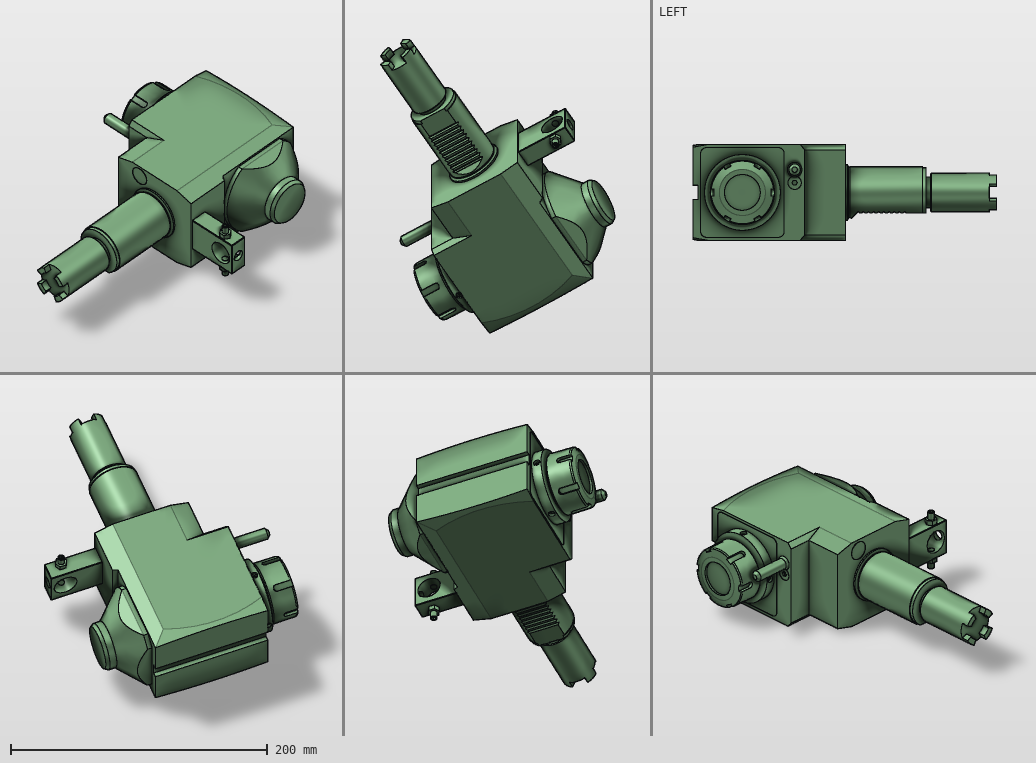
import cadquery as cq
import math


height = 75.0
half_height = height / 2
step_half_width = 39.3
bevel_width = 15.1
bevel_drop = 4.3
left_x = -58.7
right_x = 35.5
back_y = 119.0
block_front_y = 32.0
block_bevel_depth = 3.5
shoulder_y = 37.4
shoulder_length = 2.4
keyway_depth = 3.8
keyway_width = 10.9

relief_radius = 110.7
relief_x = -17.0
relief_y = 4.0
relief_slope = 0.2

spindle_y = 80.5
panel_width = 65.0
panel_height = 70.0
panel_corner = 4.7
mark_depth = 0.2
flange_radius = 29.5
flange_end_x = -66.5
neck_radius = 20.3
nut_radius = 25.0
nut_start_x = -68.4
nut_front_radius = 24.8
nut_front_x = -88.2
nut_rim_x = -89.7
nut_rim_radius = 24.4
nut_end_x = -91.0
nut_face_radius = 18.0
nut_edge = 1.0
collet_radius = 14.0
collet_depth = 2.0
nut_slot_count = 6
nut_slot_width = 5.2
nut_slot_depth = 2.8
nut_slot_end_x = -74.0
nut_short_slot_end_x = -77.8
flange_hole_radius = 2.5
flange_hole_depth = 2.4
flange_socket_size = 2.5
flange_socket_depth = 1.5
flange_hole_x = -62.7

nose_radius = 40.0
nose_tip_radius = 19.2
nose_base_x = step_half_width
nose_end_x = 68.5
nose_chamfer_length = 2.8
nose_chamfer_depth = 2.0
nose_top_y = 112.0
nose_flat_z = 32.6

pin_y = 39.7
pin_z = 17.7
pin_radius = 4.5
pin_end_x = -90.8
pin_tip_length = 2.4
pin_tip_radius = 2.1
pin_collar_radius = 5.7
pin_collar_length = 2.1
plug_z = 7.5
plug_radius = 5.2
plug_socket_size = 4.3
plug_socket_depth = 2.0

front_plug_x = -16.3
front_plug_z = 27.7
front_plug_radius = 7.5

collar_radius = 21.8
collar_length = 1.5
collar_taper_end = 2.4
shaft_radius = 20.0
shaft_groove_radius = 19.6
shaft_groove_end = 3.3
shaft_land_end = 59.8
shaft_end_radius = 19.5
shaft_end = 62.7
coupling_neck_radius = 12.0
coupling_start = 66.2
coupling_radius = 15.1
coupling_edge = 0.7
coupling_end = 112.0
total_length = 236.5
tang_end = total_length - back_y
tang_inner_radius = 10.5
tang_half_angle = 19.5
tang_count = 4
rack_flat_z = -16.0
rack_ramp_start = 2.4
rack_ramp_end = 8.8
rack_first_tooth = 9.7
rack_pitch = 4.0
rack_depth = 1.2
rack_tooth_count = 10

bracket_end_x = 82.0
bracket_half_height = 15.0
bracket_front_y = 1.5
bracket_back_y = 16.0
bracket_edge = 0.5
bracket_hole_x = 70.0
bracket_hole_radius = 9.5
bracket_end_hole_radius = 4.5
screw_y = 6.6
screw_radius = 2.5
screw_inner_z = 9.0
screw_outer_z = 25.3
screw_edge = 0.5
screw_socket_size = 2.8
screw_socket_depth = 2.4
screw_nut_top_z = 19.0
screw_nut_across_corners = 9.5


def mirrored_outline(plane, upper_points):
    """Closed outline, symmetric about the second axis value 0."""
    lower_points = [(u, -v) for u, v in reversed(upper_points)]
    return cq.Workplane(plane).polyline(upper_points + lower_points).close()


def turned_x(profile, y, z=0):
    """Solid of revolution about an X-parallel axis, from (x, radius) points."""
    return (
        cq.Workplane("XY").polyline(profile).close()
        .revolve(360, (0, 0), (1, 0)).translate((0, y, z))
    )


def turned_shaft(profile):
    """Solid of revolution about Y, from (radius, distance ahead of the housing) points."""
    points = [(radius, -distance) for radius, distance in profile]
    return cq.Workplane("XY").polyline(points).close().revolve(360, (0, 0), (0, 1))


def along_y(outline_points, start_y, end_y):
    """Prism along Y of a top/bottom symmetric XZ outline."""
    outline = mirrored_outline("XZ", outline_points)
    return outline.extrude(start_y - end_y).translate((0, start_y, 0))


def right_bevel(end_x):
    """Upper outline points of the right-hand bevel, from its inner edge out to end_x."""
    start_x = step_half_width - bevel_width
    drop = bevel_drop * (end_x - start_x) / bevel_width
    return [(start_x, half_height), (end_x, half_height - drop)]


def make_rear_block():
    block = along_y([(left_x, half_height)] + right_bevel(right_x), block_front_y, back_y)
    side_outline = [
        (block_front_y, half_height - bevel_drop),
        (block_front_y + block_bevel_depth, half_height),
        (back_y, half_height),
    ]
    side = mirrored_outline("YZ", side_outline).extrude(right_x - left_x).translate((left_x, 0, 0))
    return block.intersect(side)


def make_front_block():
    block_end_y = shoulder_y + shoulder_length
    left_bevel = [
        (-step_half_width, half_height - bevel_drop),
        (-step_half_width + bevel_width, half_height),
    ]
    block = along_y(left_bevel + right_bevel(step_half_width), 0, block_end_y)
    plan = (
        cq.Workplane("XY").workplane(offset=-half_height)
        .polyline([
            (-step_half_width, 0),
            (step_half_width, 0),
            (step_half_width, shoulder_y),
            (right_x, block_end_y),
            (-step_half_width, block_end_y),
        ]).close()
        .extrude(2 * half_height)
    )
    return block.intersect(plan)


def make_relief_envelope():
    """Double cone that turns down the rear edges of the top and bottom faces."""
    middle_radius = relief_radius + half_height / relief_slope
    return (
        cq.Workplane("XZ")
        .polyline([
            (0, -half_height),
            (relief_radius, -half_height),
            (middle_radius, 0),
            (relief_radius, half_height),
            (0, half_height),
        ]).close()
        .revolve(360, (0, 0), (0, 1))
        .translate((relief_x, relief_y, 0))
    )


def make_nose():
    cone_end_x = nose_base_x + nose_radius - nose_tip_radius
    nose = turned_x([
        (right_x, 0),
        (right_x, nose_radius),
        (nose_base_x, nose_radius),
        (cone_end_x, nose_tip_radius),
        (nose_end_x - nose_chamfer_length, nose_tip_radius),
        (nose_end_x, nose_tip_radius - nose_chamfer_depth),
        (nose_end_x, 0),
    ], spindle_y)
    bevel_end_z = nose_flat_z - (nose_end_x - nose_base_x) * bevel_drop / bevel_width
    outline = [(right_x, nose_flat_z), (nose_base_x, nose_flat_z), (nose_end_x, bevel_end_z)]
    bevelled = along_y(outline, spindle_y - nose_radius, nose_top_y)
    return nose.intersect(bevelled)


def make_panel_recess():
    return (
        cq.Workplane("YZ").center(spindle_y, 0).rect(panel_width, panel_height)
        .extrude(mark_depth).edges("|X").fillet(panel_corner).translate((left_x, 0, 0))
    )


def make_nut_slot(slot_end_x):
    """Axial slot with a round end, cut into the nut at its +Y side."""
    arc_center_x = slot_end_x - nut_slot_width / 2
    half_width = nut_slot_width / 2
    return (
        cq.Workplane("XZ")
        .moveTo(nut_end_x, -half_width)
        .lineTo(arc_center_x, -half_width)
        .threePointArc((slot_end_x, 0), (arc_center_x, half_width))
        .lineTo(nut_end_x, half_width)
        .close()
        .extrude(-2 * nut_slot_depth)
        .translate((0, nut_radius - nut_slot_depth, 0))
    )


def make_spindle():
    spindle = turned_x([
        (left_x + mark_depth, 0),
        (left_x + mark_depth, flange_radius),
        (flange_end_x, flange_radius),
        (flange_end_x, neck_radius),
        (nut_start_x, neck_radius),
        (nut_start_x, nut_radius - nut_edge),
        (nut_start_x - nut_edge, nut_radius),
        (nut_front_x, nut_front_radius),
        (nut_rim_x, nut_rim_radius),
        (nut_end_x, nut_face_radius),
        (nut_end_x, collet_radius),
        (nut_end_x + collet_depth, collet_radius),
        (nut_end_x + collet_depth, 0),
    ], 0)
    for index in range(nut_slot_count):
        angle = index * 360 / nut_slot_count
        slot_end_x = nut_short_slot_end_x if angle in (0, 180) else nut_slot_end_x
        spindle = spindle.cut(make_nut_slot(slot_end_x).rotate((0, 0, 0), (1, 0, 0), angle))
    floor = cq.Workplane("XY")
    flange_hole = (
        floor.circle(flange_hole_radius).extrude(2 * flange_hole_depth)
        .union(floor.polygon(6, flange_socket_size).extrude(-flange_socket_depth))
        .translate((flange_hole_x, 0, flange_radius - flange_hole_depth))
    )
    for angle in (0, 90, 180, 270):
        spindle = spindle.cut(flange_hole.rotate((0, 0, 0), (1, 0, 0), angle))
    return spindle.translate((0, spindle_y, 0))


def make_pin():
    return turned_x([
        (left_x + mark_depth, 0),
        (left_x + mark_depth, pin_collar_radius),
        (left_x, pin_collar_radius),
        (left_x - pin_collar_length, pin_radius),
        (pin_end_x + pin_tip_length, pin_radius),
        (pin_end_x, pin_tip_radius),
        (pin_end_x, 0),
    ], pin_y, pin_z)


def make_left_plug_recess():
    face = cq.Workplane("YZ").center(pin_y, plug_z)
    seat = face.circle(plug_radius).extrude(mark_depth)
    socket = face.polygon(6, plug_socket_size).extrude(plug_socket_depth)
    return seat.union(socket).translate((left_x, 0, 0))


def make_front_plug_recess():
    return (
        cq.Workplane("XZ").center(front_plug_x, front_plug_z)
        .circle(front_plug_radius).extrude(-mark_depth)
    )


def make_rack_cut():
    """Flat with V teeth on the underside of the shaft, with a sloped run-in."""
    ramp_start_z = rack_flat_z - (rack_ramp_end - rack_ramp_start)
    root_z = rack_flat_z + rack_depth
    points = [
        (-rack_ramp_start, ramp_start_z),
        (-rack_ramp_end, rack_flat_z),
    ]
    for index in range(rack_tooth_count):
        root_y = -rack_first_tooth - index * rack_pitch
        points += [
            (root_y + rack_depth, rack_flat_z),
            (root_y, root_z),
            (root_y - rack_depth, rack_flat_z),
        ]
    points += [(-shaft_end, rack_flat_z), (-shaft_end, ramp_start_z)]
    return cq.Workplane("YZ").polyline(points).close().extrude(shaft_radius, both=True)


def make_tang_clearance():
    """Core and radial gaps that leave the driving tangs standing at the coupling end."""
    tang_length = tang_end - coupling_end
    core = cq.Workplane("XZ").circle(tang_inner_radius).extrude(tang_length)
    gap_half_angle = math.radians(180 / tang_count - tang_half_angle)
    reach = 2 * coupling_radius
    side = reach * math.tan(gap_half_angle)
    gap = (
        cq.Workplane("XZ")
        .polyline([(0, 0), (reach, -side), (reach, side)]).close()
        .extrude(tang_length)
    )
    clearance = core
    for index in range(tang_count):
        clearance = clearance.union(gap.rotate((0, 0, 0), (0, 1, 0), index * 360 / tang_count))
    return clearance.translate((0, -coupling_end, 0))


def make_shaft():
    shaft = turned_shaft([
        (0, 0),
        (collar_radius, 0),
        (collar_radius, collar_length),
        (shaft_groove_radius, collar_taper_end),
        (shaft_groove_radius, shaft_groove_end),
        (shaft_radius, shaft_groove_end),
        (shaft_radius, shaft_land_end),
        (shaft_end_radius, shaft_land_end),
        (shaft_end_radius, shaft_end),
        (coupling_neck_radius, shaft_end),
        (coupling_neck_radius, coupling_start),
        (coupling_radius - coupling_edge, coupling_start),
        (coupling_radius, coupling_start + coupling_edge),
        (coupling_radius, tang_end),
        (0, tang_end),
    ])
    return shaft.cut(make_rack_cut()).cut(make_tang_clearance())


def make_bracket():
    length = bracket_end_x - right_x
    bracket = (
        cq.Workplane("XY")
        .box(length, bracket_back_y - bracket_front_y, 2 * bracket_half_height, centered=False)
        .edges().chamfer(bracket_edge)
        .translate((right_x, bracket_front_y, -bracket_half_height))
    )
    bore = (
        cq.Workplane("XZ").center(bracket_hole_x, 0)
        .circle(bracket_hole_radius).extrude(-bracket_back_y)
    )
    end_hole = (
        cq.Workplane("YZ").center((bracket_front_y + bracket_back_y) / 2, 0)
        .circle(bracket_end_hole_radius).extrude(bracket_end_x - bracket_hole_x)
        .translate((bracket_hole_x, 0, 0))
    )
    bracket = bracket.cut(bore).cut(end_hole)
    screw = (
        cq.Workplane("XY").workplane(offset=screw_inner_z).center(bracket_hole_x, screw_y)
        .circle(screw_radius).extrude(screw_outer_z - screw_inner_z)
        .faces(">Z").chamfer(screw_edge)
        .faces(">Z").workplane().polygon(6, screw_socket_size).cutBlind(-screw_socket_depth)
    )
    nut = (
        cq.Workplane("XY").workplane(offset=bracket_half_height).center(bracket_hole_x, screw_y)
        .polygon(6, screw_nut_across_corners).extrude(screw_nut_top_z - bracket_half_height)
    )
    upper = screw.union(nut)
    return bracket.union(upper).union(upper.mirror("XY"))


def make_keyway():
    return cq.Workplane("XY").box(
        right_x - left_x, keyway_depth, keyway_width, centered=(False, False, True)
    ).translate((left_x, back_y - keyway_depth, 0))


housing = make_rear_block().union(make_front_block()).intersect(make_relief_envelope())
housing = housing.cut(make_keyway())
housing = housing.cut(make_panel_recess())
housing = housing.cut(make_left_plug_recess())
housing = housing.cut(make_front_plug_recess())

result = housing
for attachment in (make_nose(), make_spindle(), make_pin(), make_shaft(), make_bracket()):
    result = result.union(attachment)